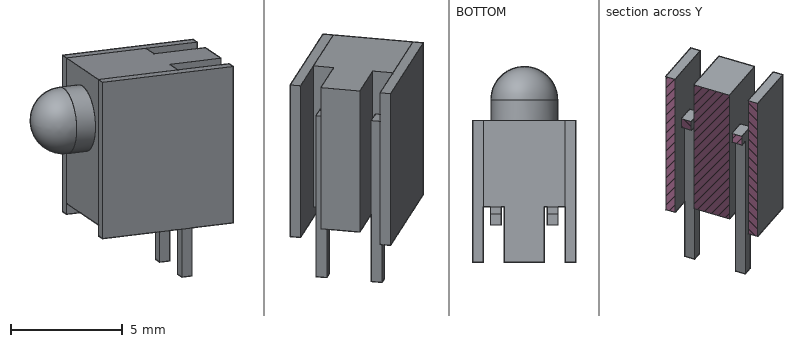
import cadquery as cq


total_height = 9.8
total_depth = 8.76
holder_width = 4.62

holder_height = 7.3
holder_depth = 6.35
plate_thickness = 0.48
block_height = 6.79
block_depth = 3.86
tongue_width = 1.79
block_width = holder_width - 2 * plate_thickness
block_bottom = holder_height - block_height

lens_radius = 1.5
lens_axis_drop = 2.3
lens_axis_height = holder_height - lens_axis_drop
barrel_length = total_depth - holder_depth - lens_radius

lead_size = 0.5
lead_spacing = 2.54
lead_back = 4.68
lead_bottom = holder_height - total_height
lead_top = lens_axis_height + lead_size / 2


def box(width, depth, height, center_x, front_y, bottom_z):
    """Box centred on center_x, extending back from front_y and up from bottom_z."""
    return cq.Workplane("XY").box(width, depth, height, centered=(True, False, False)).translate(
        (center_x, front_y, bottom_z)
    )


def make_side_plate(side):
    """Side plate at the left (-1) or right (+1) of the block."""
    center_x = side * (holder_width - plate_thickness) / 2
    return box(plate_thickness, holder_depth, holder_height, center_x, 0, 0)


def make_block():
    """T-shaped block whose rear tongue reaches the back of the plates."""
    body = box(block_width, block_depth, block_height, 0, 0, block_bottom)
    tongue = box(tongue_width, holder_depth, block_height, 0, 0, block_bottom)
    return body.union(tongue)


def make_barrel():
    """Cylinder standing on the front face of the block."""
    front_face = cq.Workplane("XZ", origin=(0, 0, lens_axis_height))
    return front_face.circle(lens_radius).extrude(barrel_length)


def make_dome():
    """Hemisphere closing the front end of the barrel."""
    profile = (
        cq.Workplane("XY", origin=(0, -barrel_length, lens_axis_height))
        .lineTo(lens_radius, 0)
        .radiusArc((0, -lens_radius), lens_radius)
        .close()
    )
    return profile.revolve(360, (0, 0), (0, 1))


def make_lead(side):
    """Bent lead at the left (-1) or right (+1), butting against the block."""
    center_x = side * lead_spacing / 2
    outline = (
        cq.Workplane("YZ", origin=(center_x, 0, 0))
        .moveTo(block_depth, lead_top)
        .lineTo(lead_back, lead_top)
        .lineTo(lead_back, lead_bottom)
        .lineTo(lead_back - lead_size, lead_bottom)
        .lineTo(lead_back - lead_size, lead_top - lead_size)
        .lineTo(block_depth, lead_top - lead_size)
        .close()
    )
    return outline.extrude(lead_size / 2, both=True)


sides = (-1, 1)
side_plates = [make_side_plate(side) for side in sides]
block = make_block()
barrel = make_barrel()
dome = make_dome()
leads = [make_lead(side) for side in sides]

result = cq.Compound.makeCompound(
    [
        *[plate.val() for plate in side_plates],
        block.val(),
        barrel.val(),
        dome.val(),
        *[lead.val() for lead in leads],
    ]
)